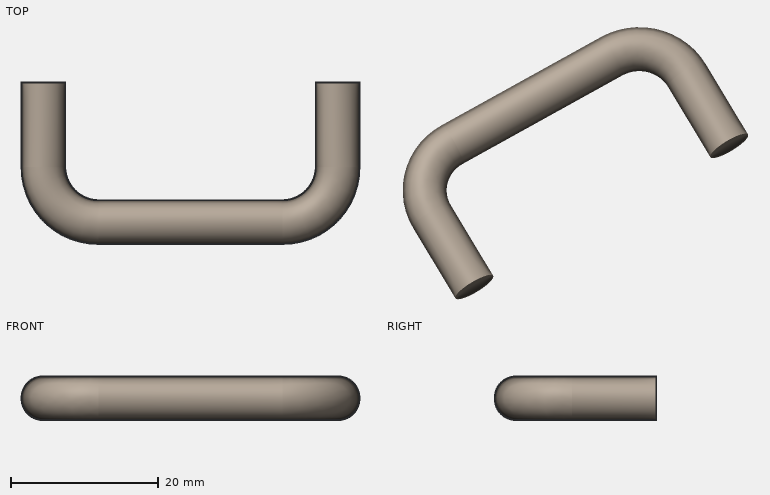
import cadquery as cq
import math

overall_width = 46.0
overall_depth = 22.0
rod_diameter = 6.0
bend_radius = 7.5

rod_radius = rod_diameter / 2
leg_x = overall_width / 2 - rod_radius
grip_half_length = leg_x - bend_radius
leg_end_y = overall_depth - rod_radius

bend_mid_offset = bend_radius * math.sin(math.radians(45))
bend_mid_x = grip_half_length + bend_mid_offset
bend_mid_y = bend_radius - bend_mid_offset

centreline = (
    cq.Workplane("XY")
    .moveTo(-leg_x, leg_end_y)
    .lineTo(-leg_x, bend_radius)
    .threePointArc((-bend_mid_x, bend_mid_y), (-grip_half_length, 0))
    .lineTo(grip_half_length, 0)
    .threePointArc((bend_mid_x, bend_mid_y), (leg_x, bend_radius))
    .lineTo(leg_x, leg_end_y)
)

result = (
    cq.Workplane("XZ", origin=(-leg_x, leg_end_y, 0))
    .circle(rod_radius)
    .sweep(centreline)
)